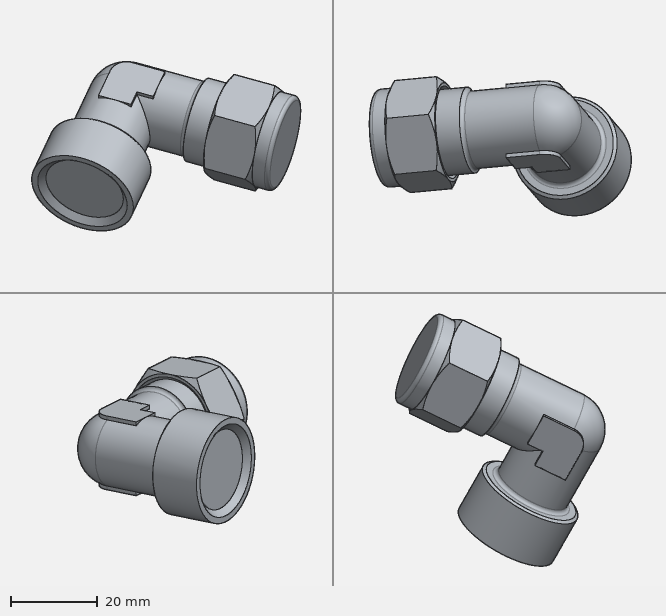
import cadquery as cq
import math

leg_radius = 9.0

collar_radius = 12.5
collar_start = 17.5
collar_end = 30.0
collar_chamfer_width = 0.8
collar_chamfer_angle = 30.0
collar_neck_fillet = 1.0

socket_mouth_radius = 11.0
socket_floor_radius = 9.5
socket_depth = 1.5

shoulder_radius = 10.0
shoulder_start = 17.5
shoulder_neck_fillet = 1.0
nut_start = 23.0
nut_end = 35.0
nut_sides = 6
nut_across_flats = 23.0
nut_chamfer_angle = 30.0
nut_mouth_radius = 10.75
nut_mouth_depth = 0.75
tail_radius = 11.4
tail_end = 39.0
tail_fillet = 1.0

pad_near = 4.0
pad_reach = 8.0
pad_corner_radius = 4.0
pad_height = 9.0


def cylinder_x(radius, start, end):
    """Cylinder about the X axis between two X positions."""
    return cq.Workplane("YZ").workplane(offset=start).circle(radius).extrude(end - start)


def make_elbow():
    """Two round legs joined by a ball at the corner."""
    leg_x = cylinder_x(leg_radius, 0, shoulder_start)
    leg_y = cq.Workplane("XZ").circle(leg_radius).extrude(collar_start)
    return leg_x.union(leg_y).union(cq.Workplane("XY").sphere(leg_radius))


def make_collar():
    """Socket collar with its neck fillet, revolved about the Y axis."""
    chamfer_length = collar_chamfer_width * math.tan(math.radians(collar_chamfer_angle))
    neck_outer = leg_radius + collar_neck_fillet
    neck_start = collar_start - collar_neck_fillet
    arc_reach = collar_neck_fillet * math.sqrt(0.5)
    profile = (
        cq.Workplane("XY")
        .moveTo(0, -neck_start)
        .lineTo(leg_radius, -neck_start)
        .threePointArc((neck_outer - arc_reach, -neck_start - arc_reach), (neck_outer, -collar_start))
        .lineTo(collar_radius - collar_chamfer_width, -collar_start)
        .lineTo(collar_radius, -collar_start - chamfer_length)
        .lineTo(collar_radius, -collar_end)
        .lineTo(socket_mouth_radius, -collar_end)
        .lineTo(socket_floor_radius, -collar_end + socket_depth)
        .lineTo(0, -collar_end + socket_depth)
        .close()
    )
    return profile.revolve(360, (0, 0, 0), (0, 1, 0))


def make_shoulder():
    """Round shoulder behind the nut with a concave neck, revolved about the X axis."""
    neck_start = shoulder_start - shoulder_neck_fillet
    shoulder_end = nut_start + nut_mouth_depth
    arc_reach = shoulder_neck_fillet * math.sqrt(0.5)
    neck_middle = (neck_start + arc_reach, shoulder_radius - arc_reach)
    profile = (
        cq.Workplane("XY")
        .moveTo(neck_start, 0)
        .lineTo(neck_start, leg_radius)
        .threePointArc(neck_middle, (shoulder_start, shoulder_radius))
        .lineTo(shoulder_end, shoulder_radius)
        .lineTo(shoulder_end, 0)
        .close()
    )
    return profile.revolve(360, (0, 0, 0), (1, 0, 0))


def make_nut_mouth():
    """Cone that narrows from the nut face down to the shoulder diameter."""
    profile = (
        cq.Workplane("XY")
        .moveTo(nut_start, 0)
        .lineTo(nut_start, nut_mouth_radius)
        .lineTo(nut_start + nut_mouth_depth, shoulder_radius)
        .lineTo(nut_start + nut_mouth_depth, 0)
        .close()
    )
    return profile.revolve(360, (0, 0, 0), (1, 0, 0))


def make_nut():
    """Hexagonal nut, flats up and down, with conical chamfers at both ends."""
    across_corners = nut_across_flats / math.cos(math.pi / nut_sides)
    hexagon = (
        cq.Workplane("YZ")
        .workplane(offset=nut_start)
        .polygon(nut_sides, across_corners)
        .extrude(nut_end - nut_start)
    )
    face_radius = nut_across_flats / 2
    corner_radius = across_corners / 2
    slope = math.tan(math.radians(nut_chamfer_angle))
    chamfer_length = (corner_radius - face_radius) * slope
    envelope = (
        cq.Workplane("XY")
        .moveTo(nut_start, 0)
        .lineTo(nut_start, face_radius)
        .lineTo(nut_start + chamfer_length, corner_radius)
        .lineTo(nut_end - chamfer_length, corner_radius)
        .lineTo(nut_end, face_radius)
        .lineTo(nut_end, 0)
        .close()
        .revolve(360, (0, 0, 0), (1, 0, 0))
    )
    return hexagon.intersect(envelope).cut(make_nut_mouth())


def make_tail():
    """Round end of the nut with a rounded rim."""
    return cylinder_x(tail_radius, nut_end, tail_end).faces(">X").edges().fillet(tail_fillet)


def make_pads():
    """L-shaped prism whose two ends are the flat wrench pads."""
    outer_corner = cq.selectors.NearestToPointSelector((-pad_near, pad_near, 0))
    return (
        cq.Workplane("XY")
        .workplane(offset=-pad_height)
        .moveTo(-pad_near, -pad_reach)
        .lineTo(pad_near, -pad_reach)
        .lineTo(pad_near, -pad_near)
        .lineTo(pad_reach, -pad_near)
        .lineTo(pad_reach, pad_near)
        .lineTo(-pad_near, pad_near)
        .close()
        .extrude(2 * pad_height)
        .edges(outer_corner)
        .fillet(pad_corner_radius)
    )


result = make_elbow()
for piece in (make_collar(), make_shoulder(), make_nut(), make_tail(), make_pads()):
    result = result.union(piece)